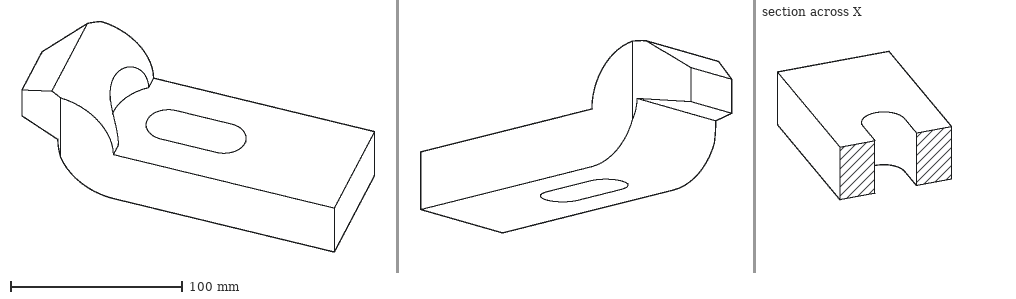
import cadquery as cq
import math

length = 200.0
width = 70.0
bar_height = 35.0
bend_radius = bar_height

neck_x = 28.0
bend_end_x = neck_x + bend_radius

tip_bottom_z = 31.0
tip_top_z = 51.5
nose_slope_end_x = 23.5
tip_width = width / 2
taper_angle = 30.0

slot_start_x = 71.5
slot_end_x = 132.0
slot_width = 26.0
washer_radius = 34.0


def point_on_upper_bend(x):
    """Point of the upper bend circle at the given X."""
    return x, bar_height + math.sqrt(bend_radius**2 - (x - neck_x) ** 2)


def make_body():
    """Side profile extruded symmetrically over the full width."""
    diagonal = bend_radius * math.sqrt(0.5)
    return (
        cq.Workplane("XZ")
        .moveTo(0, tip_bottom_z)
        .lineTo(neck_x, bar_height)
        .threePointArc((bend_end_x - diagonal, bend_radius - diagonal), (bend_end_x, 0))
        .lineTo(length, 0)
        .lineTo(length, bar_height)
        .lineTo(bend_end_x, bar_height)
        .threePointArc(
            (neck_x + diagonal, bar_height + diagonal),
            point_on_upper_bend(nose_slope_end_x),
        )
        .lineTo(0, tip_top_z)
        .close()
        .extrude(width / 2, both=True)
    )


def make_plan_outline():
    """Plan-shaped block that narrows towards the nose tip."""
    taper_length = (width - tip_width) / 2 / math.tan(math.radians(taper_angle))
    return (
        cq.Workplane("XY")
        .moveTo(0, -tip_width / 2)
        .lineTo(taper_length, -width / 2)
        .lineTo(length, -width / 2)
        .lineTo(length, width / 2)
        .lineTo(taper_length, width / 2)
        .lineTo(0, tip_width / 2)
        .close()
        .extrude(bar_height + bend_radius)
    )


def make_slot():
    """Through slot for the clamping bolt."""
    return (
        cq.Workplane("XY")
        .center((slot_start_x + slot_end_x) / 2, 0)
        .slot2D(slot_end_x - slot_start_x, slot_width)
        .extrude(bar_height)
    )


def make_washer_clearance():
    """Cylinder above the bar, concentric with the slot end nearest the neck."""
    return (
        cq.Workplane("XY", origin=(slot_start_x + slot_width / 2, 0, bar_height))
        .circle(washer_radius)
        .extrude(bend_radius)
    )


result = make_body().intersect(make_plan_outline()).cut(make_slot()).cut(make_washer_clearance())